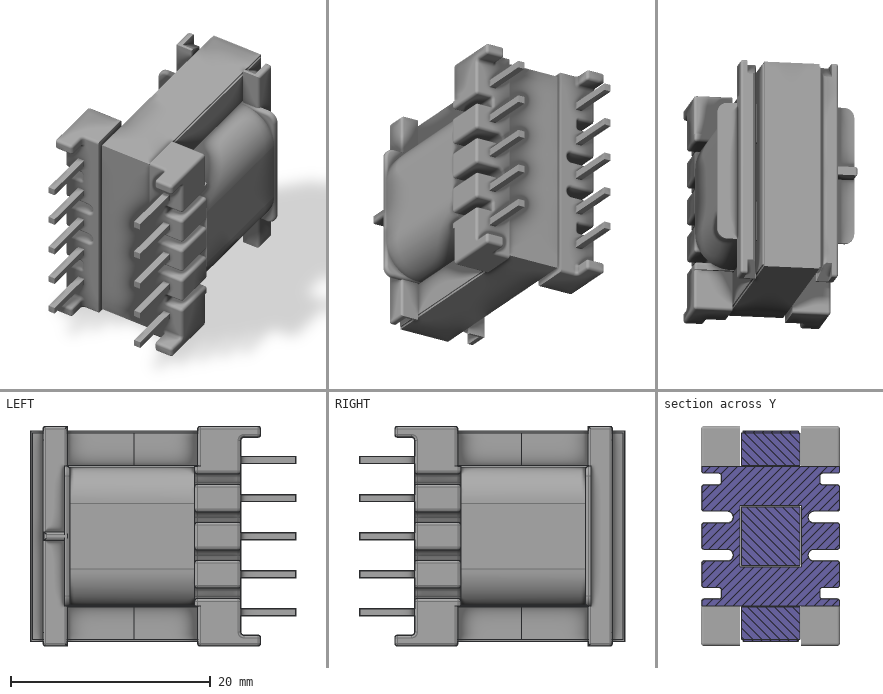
import cadquery as cq


CORE_X = 5.9
CORE_Z = 20.7
CORE_HALF_Y = 10.16
LEG_GAP_Z = 14.1
WINDOW_Y = 7.05
CENTER_LEG = 5.9
TAPE_X = 5.6
TAPE_THICK = 0.2

BOBBIN_X = 13.9
BOBBIN_Z = 22.0
CORE_SLOT_X = 6.1
TUBE_HOLE = 6.1
TUBE_OUTER = 7.5
CHEEK_Z = 14.0
EDGE_R = 0.28

WIND_Y_MIN = -6.06
WIND_Y_MAX = 6.42

RIDGE_Y = -6.36
PIN_FACE_Y = -10.7
FOOT_Y = -12.67
FOOT_X = 2.05
FOOT_Z = 1.1
FOOT_EDGE_R = 0.2
FOOT_ROOT_R = 0.3
CHEEK_Y_MIN = -6.95

SLOT_W = 1.04
SHORT_SLOT_X = 1.95
SHORT_SLOT_R = 0.2
LONG_SLOT_X = 3.13
LONG_SLOT_R = 0.49

PIN_SIZE = 0.72
PIN_PITCH = 3.81
PIN_ROW_X = 10.16
PINS_PER_ROW = 5
PIN_END_Y = -16.2

BACK_Y = 6.95
BACK_CORNER_R = 1.0
PLATE_Y = 6.67
WALL_END_Y = 9.1
WALL_X_OUT = 4.95
WALL_X_IN = 4.3
GUIDE_X_ROOT = 3.1
GUIDE_X_TIP = 3.5
GUIDE_TIP_CUT = 0.25
GUIDE_DROP = 1.4
WALL_EDGE_R = 0.25
KEY_Z = 0.85
KEY_END_Y = 9.0

WINDING_X = 13.8
WINDING_Z = 13.86
WINDING_R = 3.65

HALF_X = BOBBIN_X / 2
HALF_Z = BOBBIN_Z / 2
SLOT_HALF_X = CORE_SLOT_X / 2
CHEEK_HALF_Z = CHEEK_Z / 2
TINY = 1e-3


def block(x0, x1, y0, y1, z0, z1):
    """Box between opposite corner coordinates."""
    box = cq.Workplane("XY").box(x1 - x0, y1 - y0, z1 - z0, centered=False)
    return box.translate((x0, y0, z0))


def centered_block(size_x, y0, y1, size_z):
    """Box centred on the bobbin axis."""
    return block(-size_x / 2, size_x / 2, y0, y1, -size_z / 2, size_z / 2)


def outer_edges(body, edges, inner_x=(), inner_z=()):
    """Drop the edges that lie in one of the given inner X or Z planes."""
    def is_inner(edge):
        box = edge.BoundingBox()
        in_x = any(max(abs(box.xmin - x), abs(box.xmax - x)) < TINY for x in inner_x)
        in_z = any(max(abs(box.zmin - z), abs(box.zmax - z)) < TINY for z in inner_z)
        return in_x or in_z

    return body.newObject([edge for edge in edges.vals() if not is_inner(edge)])


def with_mirror(body, plane):
    return body.union(body.mirror(plane))


def wire_slot(z, length, corner_r):
    """Slot through the pin flange, open at the -X side, with a rounded inner end."""
    slot = block(-HALF_X, -HALF_X + length, PIN_FACE_Y, WIND_Y_MIN, z - SLOT_W / 2, z + SLOT_W / 2)
    return slot.edges("|Y and >X").fillet(corner_r)


def pin_flange_middle():
    """Part of the -X side between the ends, with four wire slots."""
    body = block(-HALF_X, -SLOT_HALF_X, PIN_FACE_Y, WIND_Y_MIN, -CHEEK_HALF_Z, CHEEK_HALF_Z)
    for side in (-1, 1):
        body = body.cut(wire_slot(side * PIN_PITCH / 2, LONG_SLOT_X, LONG_SLOT_R))
        body = body.cut(wire_slot(side * PIN_PITCH * 3 / 2, SHORT_SLOT_X, SHORT_SLOT_R))
    rims = body.faces("<X or <Y or >Y").edges()
    return outer_edges(body, rims, [-SLOT_HALF_X], [-CHEEK_HALF_Z, CHEEK_HALF_Z]).fillet(EDGE_R)


def pin_flange_end():
    """+Z end of the -X side with its foot."""
    foot_x = -HALF_X + FOOT_X
    foot_z = HALF_Z - FOOT_Z
    body = block(-HALF_X, -SLOT_HALF_X, PIN_FACE_Y, RIDGE_Y, CHEEK_HALF_Z, HALF_Z)
    foot = block(-HALF_X, foot_x, FOOT_Y, PIN_FACE_Y, foot_z, HALF_Z)
    body = body.union(foot.edges("|Y and >X and <Z").fillet(FOOT_EDGE_R))

    foot_root = cq.selectors.BoxSelector(
        (-HALF_X - TINY, PIN_FACE_Y - TINY, foot_z - TINY),
        (foot_x + TINY, PIN_FACE_Y + TINY, HALF_Z + TINY),
        boundingbox=True,
    )
    body = body.edges(foot_root).fillet(FOOT_ROOT_R)
    rims = body.faces("<X or <Y or >Y or >Z").edges()
    return outer_edges(body, rims, [-SLOT_HALF_X], [CHEEK_HALF_Z]).fillet(EDGE_R)


def pin_flange():
    side = pin_flange_middle().union(with_mirror(pin_flange_end(), "XY"))
    cheek = centered_block(CORE_SLOT_X, CHEEK_Y_MIN, WIND_Y_MIN, CHEEK_Z)
    return cheek.union(with_mirror(side, "YZ"))


def pins():
    """Two rows of square pins that stand on the pin flange."""
    rows = cq.Workplane("XZ", origin=(0, PIN_FACE_Y, 0))
    rows = rows.rarray(PIN_ROW_X, PIN_PITCH, 2, PINS_PER_ROW).rect(PIN_SIZE, PIN_SIZE)
    return rows.extrude(PIN_FACE_Y - PIN_END_Y)


def back_cheek():
    """Plate with rounded corners that closes the winding space."""
    cheek = centered_block(BOBBIN_X, WIND_Y_MAX, BACK_Y, CHEEK_Z)
    return cheek.edges("|Y").fillet(BACK_CORNER_R).faces("<Y").edges().fillet(EDGE_R)


def back_wall():
    """L-shaped wall along the -X side of the core."""
    profile = [
        (-SLOT_HALF_X, PLATE_Y),
        (-WALL_X_OUT, PLATE_Y),
        (-WALL_X_OUT, WALL_END_Y),
        (-WALL_X_IN, WALL_END_Y),
        (-WALL_X_IN, BACK_Y),
        (-SLOT_HALF_X, BACK_Y),
    ]
    wall = cq.Workplane("XY", origin=(0, 0, -HALF_Z)).polyline(profile).close().extrude(BOBBIN_Z)
    rims = wall.faces("<X or >Y").edges()
    return outer_edges(wall, rims, [-SLOT_HALF_X, -WALL_X_IN]).fillet(WALL_EDGE_R)


def core_guide():
    """Tapered lead-in between the wall and the core, with sloped ends."""
    taper = [
        (-WALL_X_IN, BACK_Y),
        (-WALL_X_IN, WALL_END_Y),
        (-GUIDE_X_TIP - GUIDE_TIP_CUT, WALL_END_Y),
        (-GUIDE_X_TIP, WALL_END_Y - GUIDE_TIP_CUT),
        (-GUIDE_X_ROOT, BACK_Y),
    ]
    tip_z = HALF_Z - GUIDE_DROP
    slope = [(BACK_Y, -HALF_Z), (WALL_END_Y, -tip_z), (WALL_END_Y, tip_z), (BACK_Y, HALF_Z)]
    body = cq.Workplane("XY", origin=(0, 0, -HALF_Z)).polyline(taper).close().extrude(BOBBIN_Z)
    return body.intersect(cq.Workplane("YZ").polyline(slope).close().extrude(-HALF_X))


def key_tab():
    """Tab on the -X side only; it marks the first pin row."""
    tab = block(-HALF_X, -WALL_X_OUT, PLATE_Y, KEY_END_Y, -KEY_Z / 2, KEY_Z / 2)
    return tab.faces("<X").edges("|Y or >Y").fillet(WALL_EDGE_R)


def back_flange():
    side = back_wall().union(core_guide())
    return back_cheek().union(with_mirror(side, "YZ")).union(key_tab())


def make_bobbin():
    """Tube, both flanges and the moulded-in pins."""
    tube = centered_block(TUBE_OUTER, WIND_Y_MIN, WIND_Y_MAX, TUBE_OUTER)
    bore = centered_block(TUBE_HOLE, CHEEK_Y_MIN, BACK_Y, TUBE_HOLE)
    return pin_flange().union(back_flange()).union(tube).cut(bore).union(pins())


def make_winding():
    coil = centered_block(WINDING_X, WIND_Y_MIN, WIND_Y_MAX, WINDING_Z).edges("|Y").fillet(WINDING_R)
    return coil.cut(centered_block(TUBE_OUTER, WIND_Y_MIN, WIND_Y_MAX, TUBE_OUTER))


def make_core_half():
    """E core half on the +Y side."""
    body = centered_block(CORE_X, 0, CORE_HALF_Y, CORE_Z)
    window = centered_block(CORE_X, 0, WINDOW_Y, LEG_GAP_Z)
    return body.cut(window).union(centered_block(CORE_X, 0, WINDOW_Y, CENTER_LEG))


def make_tape():
    """Closed band around both core halves."""
    outer_y = CORE_HALF_Y + TAPE_THICK
    band = centered_block(TAPE_X, -outer_y, outer_y, CORE_Z + 2 * TAPE_THICK)
    return band.cut(centered_block(TAPE_X, -CORE_HALF_Y, CORE_HALF_Y, CORE_Z))


bobbin = make_bobbin()
winding = make_winding()
back_core = make_core_half()
front_core = back_core.mirror("XZ")
tape = make_tape()

result = cq.Compound.makeCompound([
    bobbin.solids().val(),
    winding.solids().val(),
    back_core.solids().val(),
    front_core.solids().val(),
    tape.solids().val(),
])